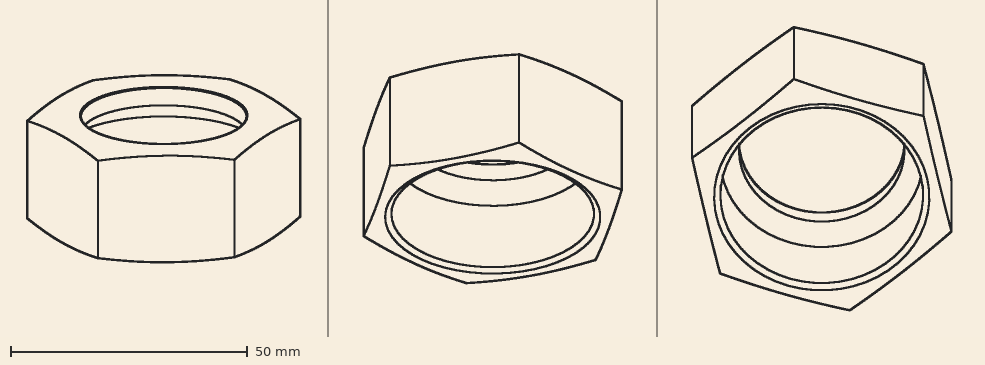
import cadquery as cq
import math

height = 24.0
across_flats = 50.0
hexagon_sides = 6
across_corners = across_flats / math.cos(math.pi / hexagon_sides)
corner_chamfer_angle = 15.0
corner_clearance = 1.0

tube_diameter = 35.0
tube_edge_chamfer = 0.2
shoulder_depth = 8.0
thread_minor_diameter = 42.84
thread_mouth_diameter = 45.5
mouth_chamfer_angle = 30.0

z_axis_start = (0, 0, 0)
z_axis_end = (0, 1, 0)


def revolve_profile(points):
    """Revolve a closed (radius, z) profile about the Z axis."""
    return cq.Workplane("XZ").polyline(points).close().revolve(360, z_axis_start, z_axis_end)


def hexagon_body():
    """Hexagonal prism with two flats facing +X and -X."""
    return (
        cq.Workplane("XY")
        .transformed(rotate=(0, 0, 90))
        .polygon(hexagon_sides, across_corners)
        .extrude(height)
    )


def corner_chamfer_envelope():
    """Solid of revolution whose end cones trim the corners of the hexagon."""
    face_radius = across_flats / 2
    corner_radius = across_corners / 2
    rim_radius = corner_radius + corner_clearance
    cone_drop = (rim_radius - face_radius) * math.tan(math.radians(corner_chamfer_angle))
    return revolve_profile([
        (0, 0),
        (face_radius, 0),
        (rim_radius, cone_drop),
        (rim_radius, height - cone_drop),
        (face_radius, height),
        (0, height),
    ])


def stepped_bore():
    """Through bore with its edge chamfers and conical shoulder."""
    tube_radius = tube_diameter / 2
    thread_radius = thread_minor_diameter / 2
    mouth_radius = thread_mouth_diameter / 2
    mouth_chamfer = (mouth_radius - thread_radius) * math.tan(math.radians(mouth_chamfer_angle))
    shoulder_bottom = height - shoulder_depth
    shoulder_top = shoulder_bottom + (thread_radius - tube_radius)
    return revolve_profile([
        (0, 0),
        (mouth_radius, 0),
        (thread_radius, mouth_chamfer),
        (thread_radius, shoulder_bottom),
        (tube_radius, shoulder_top),
        (tube_radius, height - tube_edge_chamfer),
        (tube_radius + tube_edge_chamfer, height),
        (0, height),
    ])


result = hexagon_body().intersect(corner_chamfer_envelope()).cut(stepped_bore())